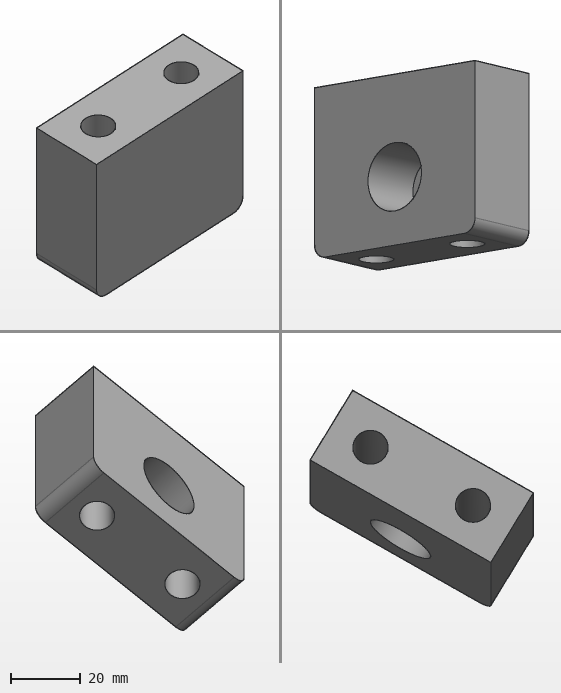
import cadquery as cq

width = 24.0
length = 60.0
height = 50.0
corner_radius = 4.0

bore_diameter = 20.0
bore_depth = 20.0
bore_height = 20.0

bolt_hole_diameter = 10.0
bolt_hole_spacing = 34.0


def make_block():
    """Block standing on Z = 0, with its two lower X-direction edges rounded."""
    block = cq.Workplane("XY").box(width, length, height, centered=(True, True, False))
    return block.faces("<Z").edges("|X").fillet(corner_radius)


def make_bore():
    """Cylinder running from the -X face into the block."""
    return (
        cq.Workplane("YZ", origin=(-width / 2, 0, bore_height))
        .circle(bore_diameter / 2)
        .extrude(bore_depth)
    )


def make_bolt_holes():
    """Two vertical cylinders, one on each side of the bore."""
    return (
        cq.Workplane("XY")
        .rarray(0.6, bolt_hole_spacing, 1, 2)
        .circle(bolt_hole_diameter / 2)
        .extrude(height)
    )


result = make_block().cut(make_bore()).cut(make_bolt_holes())